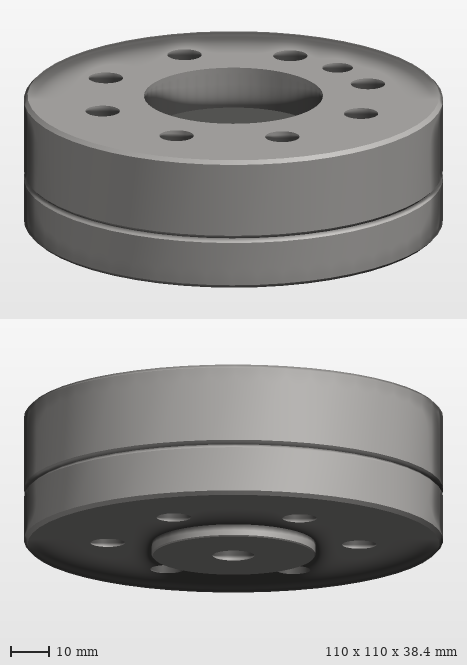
import cadquery as cq
import math


disc_dia = 110.0
rim_chamfer = 1.0
bore_dia = 11.0

upper_height = 21.6
pocket_dia = 47.0
pocket_depth = 11.0
pocket_web = 3.4
recess_dia = 40.0
recess_depth = upper_height - pocket_depth - pocket_web

upper_hole_dia = 9.0
upper_hole_radius = 36.6
cardinal_offset = 2.9
diagonal_offset = 2.4
cardinal_angles = [quarter * 90 + cardinal_offset for quarter in range(4)]
diagonal_angles = [quarter * 90 + 45 + diagonal_offset for quarter in range(1, 4)]
keyed_angle = 45 - diagonal_offset
upper_hole_angles = cardinal_angles + diagonal_angles + [keyed_angle]

drill_dia = 8.0
drill_depth = 11.0
drill_point_angle = 118.0
drill_radius = 36.0
drill_angle = 67.5

lower_height = 13.6
boss_dia = 43.0
boss_height = 3.2
boss_chamfer = 0.3
spigot_dia = 39.9
lower_hole_dia = 9.0
lower_hole_radius = 33.0
lower_hole_count = 6
lower_hole_offset = -4.0
lower_hole_angles = [
    lower_hole_offset + index * 360 / lower_hole_count for index in range(lower_hole_count)
]


def polar_point(radius, angle):
    """Point in the XY plane at a radius and an angle in degrees."""
    return (radius * math.cos(math.radians(angle)), radius * math.sin(math.radians(angle)))


def cylinder(diameter, bottom, top, centres=((0, 0),)):
    """Upright cylinders between two heights, one at each centre."""
    return (
        cq.Workplane("XY", origin=(0, 0, bottom))
        .pushPoints(list(centres))
        .circle(diameter / 2)
        .extrude(top - bottom)
    )


def chamfered_disc(bottom, top):
    """Full-diameter disc with both rims chamfered."""
    return cylinder(disc_dia, bottom, top).faces("<Z or >Z").edges().chamfer(rim_chamfer)


def drilled_hole():
    """Cutter for the blind hole with its conical drill point."""
    radius = drill_dia / 2
    point_depth = radius / math.tan(math.radians(drill_point_angle / 2))
    profile = (
        cq.Workplane("XZ")
        .moveTo(0, 0)
        .lineTo(radius, 0)
        .lineTo(radius, -drill_depth)
        .lineTo(0, -drill_depth - point_depth)
        .close()
    )
    x, y = polar_point(drill_radius, drill_angle)
    return profile.revolve(360, (0, 0), (0, 1)).translate((x, y, upper_height))


def make_upper_disc():
    """Upper disc with centre pocket, spigot recess, bore and hole circle."""
    hole_centres = [polar_point(upper_hole_radius, angle) for angle in upper_hole_angles]
    disc = chamfered_disc(0, upper_height)
    disc = disc.cut(cylinder(pocket_dia, upper_height - pocket_depth, upper_height))
    disc = disc.cut(cylinder(recess_dia, 0, recess_depth))
    disc = disc.cut(cylinder(bore_dia, 0, upper_height))
    disc = disc.cut(cylinder(upper_hole_dia, 0, upper_height, hole_centres))
    return disc.cut(drilled_hole())


def make_lower_disc():
    """Lower disc with spigot above, boss below, bore and hole circle."""
    boss_bottom = -lower_height - boss_height
    hole_centres = [polar_point(lower_hole_radius, angle) for angle in lower_hole_angles]
    boss = cylinder(boss_dia, boss_bottom, -lower_height).faces("<Z").edges().chamfer(boss_chamfer)
    disc = chamfered_disc(-lower_height, 0)
    disc = disc.union(boss)
    disc = disc.union(cylinder(spigot_dia, -lower_height, recess_depth))
    disc = disc.cut(cylinder(bore_dia, boss_bottom, recess_depth))
    return disc.cut(cylinder(lower_hole_dia, -lower_height, 0, hole_centres))


upper_disc = make_upper_disc()
lower_disc = make_lower_disc()

result = cq.Compound.makeCompound([upper_disc.val(), lower_disc.val()])